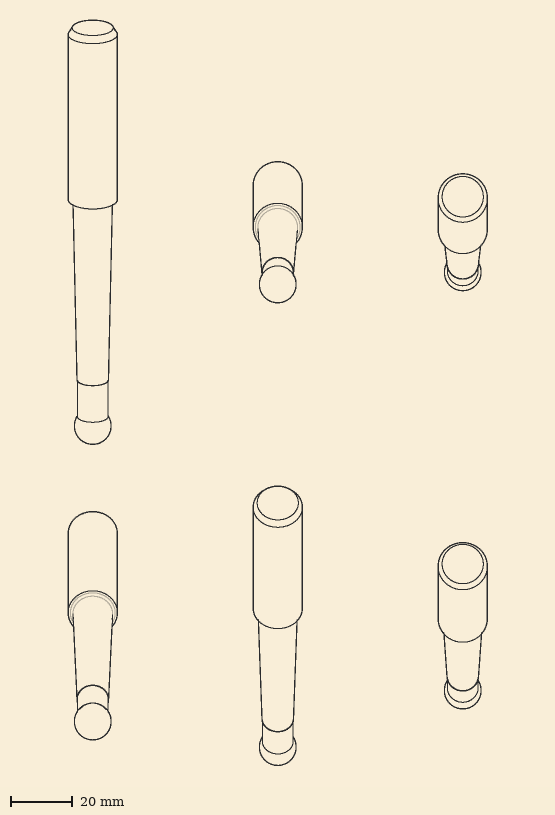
import cadquery as cq
import math

total_length = 145.0

shank_diameter = 16.0
shank_length = 60.0
end_chamfer_height = 2.3
end_chamfer_angle = 30.0

taper_top_diameter = 12.9
taper_bottom_diameter = 10.3
root_fillet = 0.8

stem_diameter = 10.02
stem_top = 22.1
ball_diameter = 12.0

shank_radius = shank_diameter / 2
taper_top_radius = taper_top_diameter / 2
taper_bottom_radius = taper_bottom_diameter / 2
stem_radius = stem_diameter / 2
ball_radius = ball_diameter / 2
shoulder_height = total_length - shank_length
taper_top = shoulder_height - root_fillet
end_chamfer_width = end_chamfer_height * math.tan(math.radians(end_chamfer_angle))
ball_center = ball_radius
ball_seat = ball_center + math.sqrt(ball_radius**2 - stem_radius**2)


def revolve_about_z(profile):
    """Close a half profile, drawn as (radius, height), and turn it into a solid around Z."""
    return profile.close().revolve(360, (0, 0, 0), (0, 1, 0))


def make_holder():
    """Chamfered shank, root fillet, tapered neck and straight stem with a flat end."""
    arc_offset = root_fillet * (1 - math.sqrt(0.5))
    profile = (
        cq.Workplane("XZ")
        .moveTo(0, ball_seat)
        .lineTo(stem_radius, ball_seat)
        .lineTo(stem_radius, stem_top)
        .lineTo(taper_bottom_radius, stem_top)
        .lineTo(taper_top_radius, taper_top)
        .threePointArc(
            (taper_top_radius + arc_offset, shoulder_height - arc_offset),
            (taper_top_radius + root_fillet, shoulder_height),
        )
        .lineTo(shank_radius, shoulder_height)
        .lineTo(shank_radius, total_length - end_chamfer_height)
        .lineTo(shank_radius - end_chamfer_width, total_length)
        .lineTo(0, total_length)
    )
    return revolve_about_z(profile)


def make_ball():
    """Ball with a flat seat on top, where the end of the stem meets it."""
    profile = (
        cq.Workplane("XZ")
        .moveTo(0, 0)
        .threePointArc((ball_radius, ball_center), (stem_radius, ball_seat))
        .lineTo(0, ball_seat)
    )
    return revolve_about_z(profile)


holder = make_holder()
ball = make_ball()

result = cq.Compound.makeCompound([holder.val(), ball.val()])